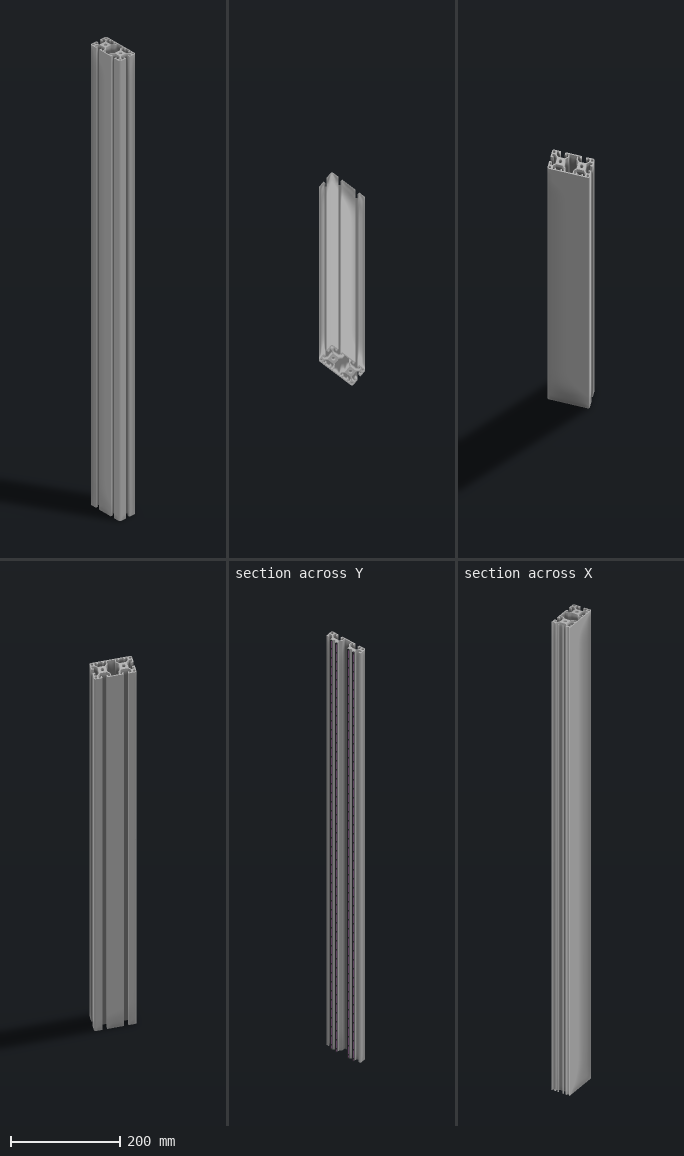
import cadquery as cq
import math

module = 40.0
width = 2 * module
depth = module
length = 1000.0
corner_radius = 3.0

neck_width = 8.5
hook_thickness = 2.7
lip_depth = 5.0
skin_thickness = 2.0
slot_half_width = 11.0

hub_half = 7.8
web_thickness = 2.0

core_diameter = 6.8
corner_hole_diameter = 5.0
corner_hole_inset = 4.0
cavity_half_width = 7.6

module_half = module / 2
skin_inside = module_half - skin_thickness
web_setback = web_thickness / math.sqrt(2)
hub_flat_half = hub_half - web_setback
overcut = 1.0


def prism(points):
    return cq.Workplane("XY").polyline(points).close().extrude(length)


def mirrored_in_x(points):
    """The points followed by their mirror images, forming a symmetric chain."""
    return points + [(-x, y) for x, y in reversed(points)]


def slot(neck_end):
    """Slot cutter pointing toward +Y, with hooked lips on both sides of its neck."""
    neck_half = neck_width / 2
    hook_outside = neck_half + hook_thickness
    lip_tip = module_half - lip_depth
    web_rise = slot_half_width - hub_flat_half
    right_half = [
        (hub_flat_half, hub_half),
        (slot_half_width, hub_half + web_rise),
        (slot_half_width, skin_inside),
        (hook_outside, skin_inside),
        (hook_outside, lip_tip),
        (neck_half, lip_tip),
        (neck_half, neck_end),
    ]
    return prism(mirrored_in_x(right_half))


def central_cavity():
    """Hollow between the two hubs, narrowing along the webs to the slot walls."""
    hub_face = module_half - hub_half
    web_rise = hub_face - cavity_half_width
    upper_right = [
        (hub_face, hub_flat_half),
        (cavity_half_width, hub_flat_half + web_rise),
        (cavity_half_width, skin_inside),
    ]
    upper = mirrored_in_x(upper_right)
    lower = [(-x, -y) for x, y in upper]
    return prism(upper + lower)


def round_holes(centres, diameter):
    return cq.Workplane("XY").pushPoints(centres).circle(diameter / 2).extrude(length)


body = cq.Workplane("XY").rect(width, depth).extrude(length)
body = body.edges("|Z").fillet(corner_radius)

open_slot = slot(module_half + overcut)
covered_slot = slot(skin_inside)
for side in (-1, 1):
    slots = ((open_slot, 180), (open_slot, -90 * side), (covered_slot, 0))
    for cutter, angle in slots:
        turned = cutter.rotate((0, 0, 0), (0, 0, 1), angle)
        body = body.cut(turned.translate((side * module_half, 0, 0)))

body = body.cut(central_cavity())

core_centres = [(side * module_half, 0) for side in (-1, 1)]
body = body.cut(round_holes(core_centres, core_diameter))

corner_x = width / 2 - corner_hole_inset
corner_y = depth / 2 - corner_hole_inset
corner_centres = [(sx * corner_x, sy * corner_y) for sx in (-1, 1) for sy in (-1, 1)]
result = body.cut(round_holes(corner_centres, corner_hole_diameter))